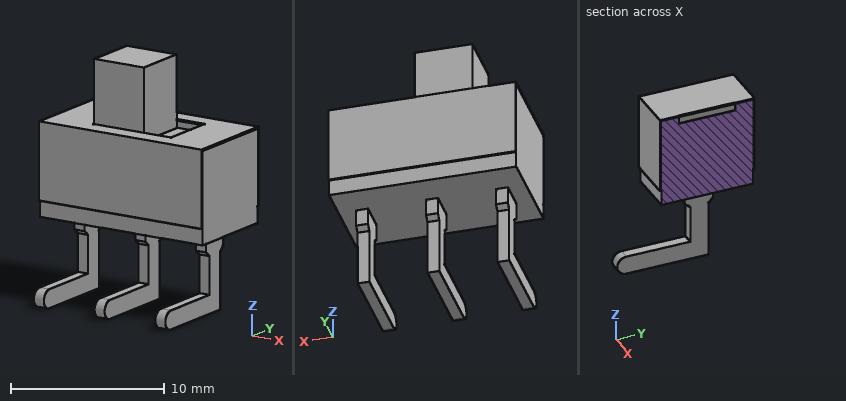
import cadquery as cq


length = 12.7
total_height = 16.35
total_depth = 9.25

cover_depth = 6.8
cover_top = 11.95
cover_bottom = 6.57
sheet = 0.11

base_depth = cover_depth - 2 * sheet
base_bottom = 5.45
base_top = cover_top - sheet

slider_size = 3.9
slider_gap = 0.05
slot_length = 6.1
slot_width = slider_size + 2 * slider_gap
slot_depth = 0.59
slot_floor = cover_top - slot_depth
slider_x = -slot_length / 2 + slider_gap + slider_size / 2

terminal_count = 3
terminal_pitch = 4.74
terminal_thickness = 0.8
shoulder_width = 2.05
shoulder_bottom = 4.27
taper_height = 0.35
leg_width = 1.3
leg_back = 0.69
leg_front = leg_back - leg_width
tip_radius = leg_width / 2
tip_y = cover_depth / 2 - total_depth


def block(size_x, size_y, bottom, top, x=0):
    """Upright block centred on Y = 0."""
    return cq.Workplane("XY", origin=(x, 0, bottom)).rect(size_x, size_y).extrude(top - bottom)


def make_cover():
    """Inverted U of sheet, open at both X ends, with the slot cut through its top."""
    outer = block(length, cover_depth, cover_bottom, cover_top)
    inside = block(length, base_depth, cover_bottom, base_top)
    slot = block(slot_length, slot_width, base_top, cover_top)
    return outer.cut(inside).cut(slot)


def make_terminal(x):
    """Shouldered leg bent toward -Y, ending in a full round."""
    half_shoulder = shoulder_width / 2
    taper_end = shoulder_bottom - taper_height
    round_start = tip_y + tip_radius
    return (
        cq.Workplane("YZ", origin=(x - terminal_thickness / 2, 0, 0))
        .moveTo(half_shoulder, base_bottom)
        .lineTo(half_shoulder, shoulder_bottom)
        .lineTo(leg_back, taper_end)
        .lineTo(leg_back, 0)
        .lineTo(round_start, 0)
        .threePointArc((tip_y, tip_radius), (round_start, leg_width))
        .lineTo(leg_front, leg_width)
        .lineTo(leg_front, taper_end)
        .lineTo(-half_shoulder, shoulder_bottom)
        .lineTo(-half_shoulder, base_bottom)
        .close()
        .extrude(terminal_thickness)
    )


def make_base():
    """Base block with a recess under the slot, the slider and the terminals."""
    base = block(length, base_depth, base_bottom, base_top)
    base = base.cut(block(slot_length, slot_width, slot_floor, base_top))
    base = base.union(block(slider_size, slider_size, slot_floor, total_height, slider_x))
    for index in range(terminal_count):
        x = (index - (terminal_count - 1) / 2) * terminal_pitch
        base = base.union(make_terminal(x))
    return base


cover = make_cover()
base = make_base()

result = cq.Compound.makeCompound([cover.solids().val(), base.solids().val()])